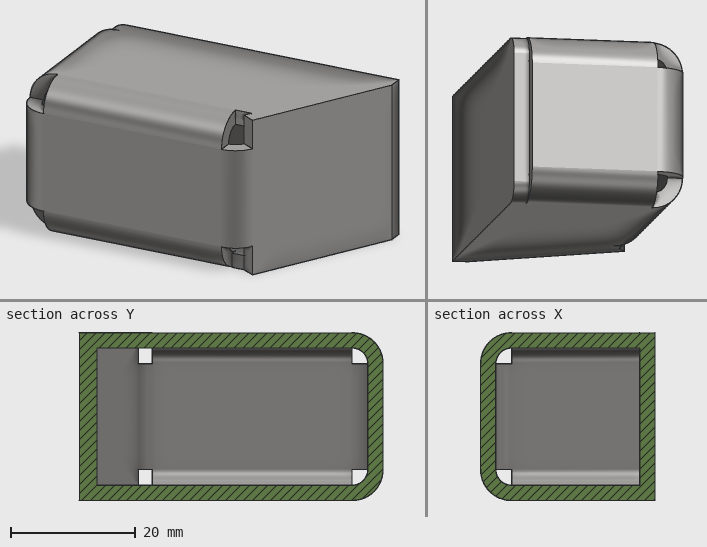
import cadquery as cq
import math

length = 54.7
depth = 28.0
height = 27.0

bend_radius = 5.0
wall = bend_radius / 2
inner_radius = bend_radius - wall
back_corner_radius = 3.0
slant = math.radians(60)

back_face = depth - wall
top_bend_end = height - bend_radius


def slant_bend_point(radius, center_x):
    """End of the slanted-wall bend at the given bend radius."""
    x = center_x + radius * math.sin(slant)
    y = bend_radius - radius * math.cos(slant)
    return x, y


def along_inner_slant(y):
    """Point on the inside face of the slanted wall at depth y."""
    return inner_end[0] + (y - inner_end[1]) / math.tan(slant), y


outer_end_y = bend_radius * (1 - math.cos(slant))
outer_end_x = length - (back_face - outer_end_y) / math.tan(slant)
right_bend_x = outer_end_x - bend_radius * math.sin(slant)
outer_end = slant_bend_point(bend_radius, right_bend_x)
inner_end = slant_bend_point(inner_radius, right_bend_x)


def block(start, end):
    """Box between two opposite corners."""
    size = [b - a for a, b in zip(start, end)]
    return cq.Workplane("XY").box(*size, centered=False).translate(start)


def prism(points, bottom, top):
    """Vertical prism over a polygon."""
    return cq.Workplane("XY").workplane(offset=bottom).polyline(points).close().extrude(top - bottom)


def bend(plane, run, start_angle, sweep):
    """Curved sheet about the plane's origin, extruded along its normal."""
    def polar(radius, degrees):
        angle = math.radians(degrees)
        return radius * math.cos(angle), radius * math.sin(angle)

    middle = start_angle + sweep / 2
    end = start_angle + sweep
    return (
        cq.Workplane(plane)
        .moveTo(*polar(inner_radius, start_angle))
        .lineTo(*polar(bend_radius, start_angle))
        .threePointArc(polar(bend_radius, middle), polar(bend_radius, end))
        .lineTo(*polar(inner_radius, end))
        .threePointArc(polar(inner_radius, middle), polar(inner_radius, start_angle))
        .close()
        .extrude(run)
    )


left_wall = block((0, bend_radius, bend_radius), (wall, back_face, top_bend_end))
front_wall = block((bend_radius, 0, bend_radius), (right_bend_x, wall, top_bend_end))
slanted_wall = prism(
    [outer_end, (length, back_face), along_inner_slant(back_face), inner_end], 0, height
)

plate_rear = [(bend_radius, bend_radius), (bend_radius, back_face), (length, back_face), outer_end, inner_end]
top_plate = prism(plate_rear + [along_inner_slant(bend_radius)], height - wall, height)
bottom_plate = prism(
    plate_rear + [(right_bend_x, inner_end[1]), (right_bend_x, bend_radius)], 0, wall
)

back_plate = (
    block((wall, back_face, 0), (length, depth, height))
    .edges("|Y and <X")
    .fillet(back_corner_radius)
)

result = left_wall
for piece in (front_wall, slanted_wall, top_plate, bottom_plate, back_plate):
    result = result.union(piece)

for center_x, start_angle, sweep in (
    (bend_radius, 180, 90),
    (right_bend_x, 270, math.degrees(slant)),
):
    plane = cq.Plane((center_x, bend_radius, bend_radius), (1, 0, 0), (0, 0, 1))
    result = result.union(bend(plane, top_bend_end - bend_radius, start_angle, sweep))

for center_z, side in ((bend_radius, -1), (top_bend_end, 1)):
    corner = (bend_radius, bend_radius, center_z)
    left_plane = cq.Plane(corner, (-1, 0, 0), (0, 1, 0))
    front_plane = cq.Plane(corner, (0, -1, 0), (1, 0, 0))
    left_start = 0 if side > 0 else 270
    front_start = 270 if side > 0 else 0
    result = result.union(bend(left_plane, back_face - bend_radius, left_start, 90))
    result = result.union(bend(front_plane, right_bend_x - bend_radius, front_start, 90))